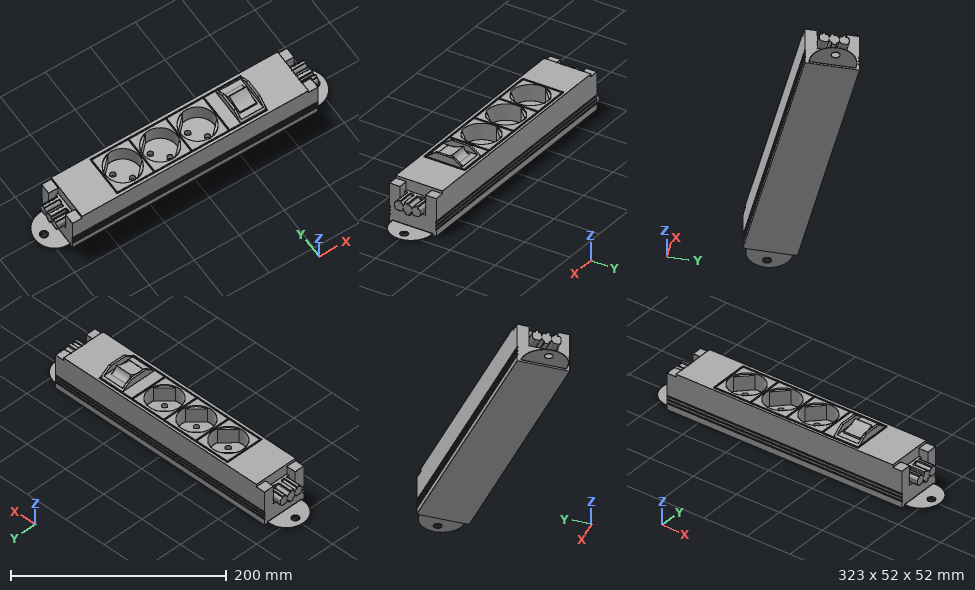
import cadquery as cq
import math

tab_reach = 161.5
body_half_length = 136.5
body_width = 52.0
body_height = 44.0
total_height = 52.0

end_shoulder_x = 126.0
end_height = 41.0
bay_width = 28.5
bay_floor_z = 19.5

side_groove_heights = (7.5, 11.3, 15.2)
groove_width = 1.0
groove_depth = 0.5

tab_radius = 22.3
tab_thickness = 0.3
tab_z = 1.78
tab_hole_diameter = 8.0
tab_hole_x = 151.2

connector_tip_x = 145.7
connector_back_x = 128.5
connector_top_z = 32.0
middle_sleeve_width = 9.7
side_sleeve_width = (bay_width - middle_sleeve_width) / 2
sleeve_bottom_z = 21.3
sleeve_height = 9.0
sleeve_corner = 3.2
side_rib_width = 3.0
middle_rib_width = 3.5
middle_rib_y = -1.5
middle_foot_width = 4.5
pedestal_width = 8.7
pedestal_length = 1.0

module_pitch = 41.7
module_count = 4
socket_count = 3
module_row_x = -1.0
module_width = 44.3
first_module_x = module_row_x - module_pitch * (module_count - 1) / 2

socket_radius = 19.0
socket_depth = 17.8
socket_flat_distance = 16.0
socket_ledge_depth = 1.5
pin_count = 2
pin_hole_diameter = 5.8
pin_hole_depth = 6.5
pin_circle_radius = 9.5
pin_angle = 135

switch_x = 68.0
switch_length = 29.0
switch_base_width = 42.5
switch_top_width = 19.5
cheek_thickness = 2.3
switch_floor_z = 45.5
rocker_length = 19.0
rocker_half_width = 12.5
rocker_ridge_y = 5.5
rocker_front_z = 47.0
rocker_front_slant = 0.3


def block(x0, x1, y0, y1, z0, z1):
    """Axis-aligned box between two corners."""
    return cq.Workplane("XY").box(x1 - x0, y1 - y0, z1 - z0, centered=False).translate((x0, y0, z0))


def both_ends(shape):
    """The shape together with its mirror image at the other end."""
    return shape.union(shape.mirror("YZ"))


def end_cut():
    """Volume cut away to form the lowered end and the open bay at the +X end."""
    half_width = body_width / 2
    lowered = block(end_shoulder_x, body_half_length, -half_width, half_width, end_height, body_height)
    bay = block(end_shoulder_x, body_half_length, -bay_width / 2, bay_width / 2, bay_floor_z, body_height)
    return lowered.union(bay)


def side_grooves():
    """Grooves along the full length of both long sides."""
    grooves = cq.Workplane("XY")
    for z in side_groove_heights:
        for side in (-1, 1):
            groove = cq.Workplane("XY").box(2 * body_half_length, 2 * groove_depth, groove_width)
            grooves = grooves.add(groove.translate((0, side * body_width / 2, z)))
    return grooves.combine()


def tabs():
    """Thin round-ended strip that forms the mounting tab at both ends."""
    strip = cq.Workplane("XY").workplane(offset=tab_z)
    strip = strip.slot2D(2 * tab_reach, 2 * tab_radius).extrude(tab_thickness)
    holes = cq.Workplane("XY").pushPoints([(-tab_hole_x, 0), (tab_hole_x, 0)])
    return strip.cut(holes.circle(tab_hole_diameter / 2).extrude(body_height))


def sleeve(y, width):
    """Rounded square bar of the connector, centred on y."""
    bar = block(connector_back_x, connector_tip_x, y - width / 2, y + width / 2,
                sleeve_bottom_z, sleeve_bottom_z + sleeve_height)
    return bar.edges("|X").fillet(sleeve_corner)


def connector():
    """Connector in the bay at the +X end."""
    sleeve_middle_z = sleeve_bottom_z + sleeve_height / 2

    def along(y, width, z0, z1, x0=connector_back_x, x1=connector_tip_x):
        return block(x0, x1, y - width / 2, y + width / 2, z0, z1)

    plug = along(0, bay_width, bay_floor_z, connector_top_z, end_shoulder_x, connector_back_x)
    plug = plug.union(along(0, pedestal_width, bay_floor_z, connector_top_z,
                            connector_back_x, connector_back_x + pedestal_length))
    side_sleeve_y = (middle_sleeve_width + side_sleeve_width) / 2
    for y in (-side_sleeve_y, side_sleeve_y):
        plug = plug.union(sleeve(y, side_sleeve_width))
        plug = plug.union(along(y, side_rib_width, sleeve_middle_z, connector_top_z))
    plug = plug.union(sleeve(0, middle_sleeve_width))
    plug = plug.union(along(middle_rib_y, middle_rib_width, sleeve_middle_z, connector_top_z))
    return plug.union(along(0, middle_foot_width, bay_floor_z, sleeve_middle_z))


def module_joints():
    """Narrow grooves that frame the module row and part one module from the next."""
    row_length = module_pitch * module_count
    top = cq.Workplane("XY").workplane(offset=body_height - groove_depth).center(module_row_x, 0)
    joints = top.rect(row_length + groove_width, module_width + groove_width).extrude(groove_depth)
    for i in range(module_count):
        panel_length = module_pitch - groove_width
        panel = cq.Workplane("XY").box(panel_length, module_width - groove_width, 2 * body_height)
        joints = joints.cut(panel.translate((first_module_x + i * module_pitch, 0, body_height)))
    return joints


def socket(x):
    """Round well with two keying flats below a shallow ledge, and two pin holes in its floor."""
    floor_z = body_height - socket_depth
    well = cq.Workplane("XY").workplane(offset=floor_z).circle(socket_radius).extrude(socket_depth)
    between_flats = cq.Workplane("XY").box(2 * socket_flat_distance, 2 * socket_radius, 2 * body_height)
    well = well.intersect(between_flats.rotate((0, 0, 0), (0, 0, 1), pin_angle))
    ledge = cq.Workplane("XY").workplane(offset=body_height - socket_ledge_depth)
    well = well.union(ledge.circle(socket_radius).extrude(socket_ledge_depth))
    pins = cq.Workplane("XY").workplane(offset=floor_z - pin_hole_depth)
    pins = pins.polarArray(pin_circle_radius, pin_angle, 360, pin_count).circle(pin_hole_diameter / 2)
    return well.union(pins.extrude(pin_hole_depth)).translate((x, 0, 0))


def switch_frame():
    """Trapezoidal housing, hollowed between its two end cheeks."""
    frame = (
        cq.Workplane("YZ")
        .moveTo(-switch_base_width / 2, body_height)
        .lineTo(switch_base_width / 2, body_height)
        .lineTo(switch_top_width / 2, total_height)
        .lineTo(-switch_top_width / 2, total_height)
        .close()
        .extrude(switch_length / 2, both=True)
    )
    half_opening = switch_length / 2 - cheek_thickness
    opening = block(-half_opening, half_opening, -body_width, body_width, switch_floor_z, 2 * total_height)
    return frame.cut(opening)


def rocker_face_middle(edge_y, edge_z):
    """Middle point of the arc that leaves the edge level and rises to the ridge."""
    run = rocker_ridge_y - edge_y
    rise = total_height - edge_z
    radius = (run ** 2 + rise ** 2) / (2 * rise)
    half_sweep = math.atan2(rise, abs(run))
    y = edge_y + math.copysign(radius * math.sin(half_sweep), run)
    return y, edge_z + radius * (1 - math.cos(half_sweep))


def rocker():
    """Rocker with a ridge and two hollow faces that run out level at their outer edges."""
    ridge = (rocker_ridge_y, total_height)
    front = (rocker_front_slant - rocker_half_width, rocker_front_z)
    back = (rocker_half_width, switch_floor_z)
    return (
        cq.Workplane("YZ")
        .moveTo(-rocker_half_width, switch_floor_z)
        .lineTo(*front)
        .threePointArc(rocker_face_middle(*front), ridge)
        .threePointArc(rocker_face_middle(*back), back)
        .close()
        .extrude(rocker_length / 2, both=True)
    )


result = block(-body_half_length, body_half_length, -body_width / 2, body_width / 2, 0, body_height)
result = result.cut(both_ends(end_cut())).cut(side_grooves()).cut(module_joints())
for i in range(socket_count):
    result = result.cut(socket(first_module_x + i * module_pitch))
result = result.union(tabs()).union(both_ends(connector()))
switch = switch_frame().union(rocker()).translate((switch_x, 0, 0))
result = result.union(switch)